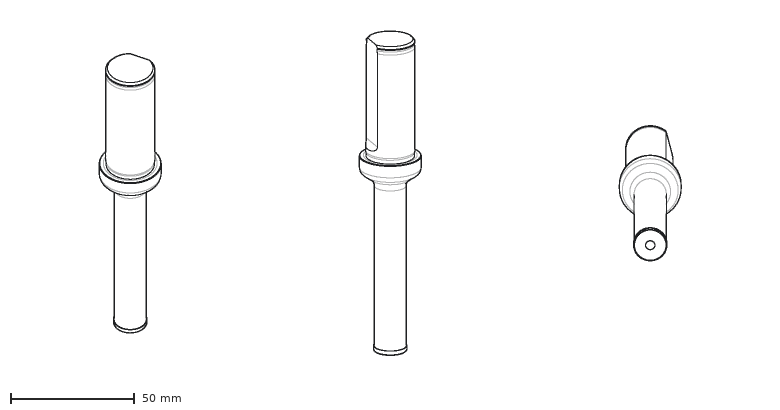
import cadquery as cq
import math

TOTAL_LENGTH = 134.0
SHANK_LENGTH = 50.0
COLLAR_TOP = TOTAL_LENGTH - SHANK_LENGTH

SHANK_RADIUS = 20.0 / 2
SHANK_CHAMFER_WIDTH = 0.8
SHANK_CHAMFER_HEIGHT = 1.0

GROOVE_RADIUS = 19.5 / 2
GROOVE_TOP = TOTAL_LENGTH - 1.3
GROOVE_FLOOR_END = TOTAL_LENGTH - 2.1
GROOVE_BOTTOM = TOTAL_LENGTH - 3.4
UNDERCUT_TOP = COLLAR_TOP + 2.1
UNDERCUT_FLOOR_START = COLLAR_TOP + 1.3
UNDERCUT_FACE_RADIUS = 21.7 / 2
UNDERCUT_FACE_DEPTH = 0.3

FLAT_DISTANCE = 8.0
FLAT_LENGTH = 43.4
RUNOUT_RADIUS = 2.7

COLLAR_RADIUS = 25.0 / 2
COLLAR_CHAMFER = 0.3
COLLAR_HEIGHT = 6.7
STEM_RADIUS = 13.0 / 2
CONE_ANGLE = 55.0
CONE_TOP = COLLAR_TOP - COLLAR_HEIGHT
CONE_BOTTOM = CONE_TOP - (COLLAR_RADIUS - STEM_RADIUS) / math.tan(math.radians(CONE_ANGLE))
SHOULDER_FILLET = 3.0
COVE_FILLET = 4.0

TIP_RADIUS = 13.5 / 2
TIP_TOP = 2.3
TIP_CHAMFER = 0.4
BOSS_RADIUS = 3.8 / 2
BOSS_HEIGHT = 0.3


def revolve_profile(points):
    """Revolve an outline of (radius, height) points about the Z axis."""
    return cq.Workplane("XZ").polyline(points).close().revolve(360, (0, 0, 0), (0, 1, 0))


def make_collar_and_stem():
    """Collar, cone and stem, with the face undercut around the shank."""
    blank = revolve_profile([
        (0, TIP_TOP),
        (STEM_RADIUS, TIP_TOP),
        (STEM_RADIUS, CONE_BOTTOM),
        (COLLAR_RADIUS, CONE_TOP),
        (COLLAR_RADIUS, COLLAR_TOP - COLLAR_CHAMFER),
        (COLLAR_RADIUS - COLLAR_CHAMFER, COLLAR_TOP),
        (UNDERCUT_FACE_RADIUS, COLLAR_TOP),
        (GROOVE_RADIUS, COLLAR_TOP - UNDERCUT_FACE_DEPTH),
        (0, COLLAR_TOP - UNDERCUT_FACE_DEPTH),
    ])
    shoulder_edge = cq.selectors.NearestToPointSelector((0, 0, CONE_TOP))
    cove_edge = cq.selectors.NearestToPointSelector((0, 0, CONE_BOTTOM))
    rounded = blank.edges("%CIRCLE").edges(shoulder_edge).fillet(SHOULDER_FILLET)
    return rounded.edges("%CIRCLE").edges(cove_edge).fillet(COVE_FILLET)


def make_shank():
    """Shank with its top chamfer, groove, foot undercut and flat."""
    shank = revolve_profile([
        (0, COLLAR_TOP - UNDERCUT_FACE_DEPTH),
        (GROOVE_RADIUS, COLLAR_TOP - UNDERCUT_FACE_DEPTH),
        (GROOVE_RADIUS, UNDERCUT_FLOOR_START),
        (SHANK_RADIUS, UNDERCUT_TOP),
        (SHANK_RADIUS, GROOVE_BOTTOM),
        (GROOVE_RADIUS, GROOVE_FLOOR_END),
        (GROOVE_RADIUS, GROOVE_TOP),
        (SHANK_RADIUS, GROOVE_TOP),
        (SHANK_RADIUS, TOTAL_LENGTH - SHANK_CHAMFER_HEIGHT),
        (SHANK_RADIUS - SHANK_CHAMFER_WIDTH, TOTAL_LENGTH),
        (0, TOTAL_LENGTH),
    ])
    return shank.cut(make_flat_cutter())


def make_flat_cutter():
    """Solid removed from the shank: flat face with a quarter-round runout."""
    flat_end = TOTAL_LENGTH - FLAT_LENGTH
    runout_centre = FLAT_DISTANCE + RUNOUT_RADIUS
    arc_reach = RUNOUT_RADIUS * math.sin(math.radians(45))
    return (
        cq.Workplane("YZ")
        .moveTo(FLAT_DISTANCE, TOTAL_LENGTH)
        .lineTo(FLAT_DISTANCE, flat_end)
        .threePointArc(
            (runout_centre - arc_reach, flat_end - arc_reach),
            (runout_centre, flat_end - RUNOUT_RADIUS),
        )
        .lineTo(runout_centre, TOTAL_LENGTH)
        .close()
        .extrude(SHANK_RADIUS, both=True)
    )


def make_holder():
    """Shank, collar and stem as one solid."""
    return make_collar_and_stem().union(make_shank())


def make_tip():
    """Slightly wider disc on the end of the stem, with a small centre boss."""
    return revolve_profile([
        (0, 0),
        (BOSS_RADIUS, 0),
        (BOSS_RADIUS, BOSS_HEIGHT),
        (TIP_RADIUS - TIP_CHAMFER, BOSS_HEIGHT),
        (TIP_RADIUS, BOSS_HEIGHT + TIP_CHAMFER),
        (TIP_RADIUS, TIP_TOP),
        (0, TIP_TOP),
    ])


holder = make_holder()
tip = make_tip()
result = cq.Compound.makeCompound([holder.val(), tip.val()])